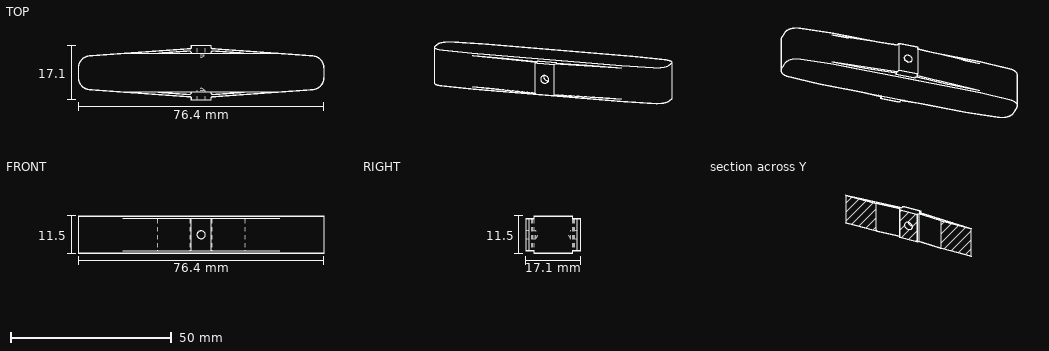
import cadquery as cq
import math

LENGTH = 76.4
HEIGHT = 11.5
BODY_WIDTH = 12.1
END_FLAT_WIDTH = 3.0
END_RADIUS = 3.8
TAPER_SLOPE = 0.0714

OVERALL_WIDTH = 17.05
ARM_HEIGHT = 10.0
ARM_ROOT_X = 4.3
ARM_THICKNESS = 0.8
PAD_WIDTH = 6.3
PAD_FILLET = 0.3
SLOT_CHAMFER = 0.3

HOLE_DIAMETER = 2.5
HOLE_DEPTH = 3.05
HOLE_TIP_ANGLE = 118.0

HALF_LENGTH = LENGTH / 2
HALF_BODY = BODY_WIDTH / 2
HALF_PAD = PAD_WIDTH / 2
PAD_FACE_Y = OVERALL_WIDTH / 2
TAPER_ANGLE = math.atan(TAPER_SLOPE)

ARC_CENTER_X = HALF_LENGTH - END_RADIUS
ARC_CENTER_Y = END_FLAT_WIDTH / 2
TAPER_START_X = ARC_CENTER_X + END_RADIUS * math.sin(TAPER_ANGLE)
TAPER_START_Y = ARC_CENTER_Y + END_RADIUS * math.cos(TAPER_ANGLE)
TAPER_END_X = TAPER_START_X - (HALF_BODY - TAPER_START_Y) / TAPER_SLOPE

ARM_ROOT_Y = TAPER_START_Y + (TAPER_START_X - ARM_ROOT_X) * TAPER_SLOPE


def make_body():
    """Boat-shaped bar with parallel middle, tapered sides and rounded ends."""
    arc_mid_angle = (math.pi / 2 - TAPER_ANGLE) / 2
    arc_mid = (
        ARC_CENTER_X + END_RADIUS * math.cos(arc_mid_angle),
        ARC_CENTER_Y + END_RADIUS * math.sin(arc_mid_angle),
    )
    quarter = (
        cq.Workplane("XY", origin=(0, 0, -HEIGHT / 2))
        .lineTo(HALF_LENGTH, 0)
        .lineTo(HALF_LENGTH, ARC_CENTER_Y)
        .threePointArc(arc_mid, (TAPER_START_X, TAPER_START_Y))
        .lineTo(TAPER_END_X, HALF_BODY)
        .lineTo(0, HALF_BODY)
        .close()
        .extrude(HEIGHT)
    )
    half = quarter.union(quarter.mirror("YZ"))
    return half.union(half.mirror("XZ"))


def make_half_arm():
    """The +X half of the +Y arm and pad, with the slot left open behind the arm."""
    slot_y = ARM_ROOT_Y - ARM_THICKNESS
    slot_end_x = ARM_ROOT_X + (slot_y - HALF_BODY) / TAPER_SLOPE
    fillet_mid_offset = PAD_FILLET * (1 - math.sqrt(0.5))
    return (
        cq.Workplane("XY", origin=(0, 0, -ARM_HEIGHT / 2))
        .lineTo(0, PAD_FACE_Y)
        .lineTo(HALF_PAD, PAD_FACE_Y)
        .lineTo(HALF_PAD, ARM_ROOT_Y + PAD_FILLET)
        .threePointArc(
            (HALF_PAD + fillet_mid_offset, ARM_ROOT_Y + fillet_mid_offset),
            (HALF_PAD + PAD_FILLET, ARM_ROOT_Y),
        )
        .lineTo(ARM_ROOT_X, ARM_ROOT_Y)
        .lineTo(TAPER_END_X, HALF_BODY)
        .lineTo(slot_end_x, HALF_BODY)
        .lineTo(ARM_ROOT_X, slot_y)
        .lineTo(HALF_PAD + SLOT_CHAMFER, slot_y)
        .lineTo(HALF_PAD, slot_y - SLOT_CHAMFER)
        .lineTo(HALF_PAD, 0)
        .close()
        .extrude(ARM_HEIGHT)
    )


def make_hole_cutter():
    """Drilled hole with a conical tip, entering the +Y pad face."""
    radius = HOLE_DIAMETER / 2
    tip_length = radius / math.tan(math.radians(HOLE_TIP_ANGLE / 2))
    floor_y = PAD_FACE_Y - HOLE_DEPTH
    return (
        cq.Workplane("YZ")
        .moveTo(PAD_FACE_Y, 0)
        .lineTo(PAD_FACE_Y, radius)
        .lineTo(floor_y, radius)
        .lineTo(floor_y - tip_length, 0)
        .close()
        .revolve(360, (0, 0, 0), (1, 0, 0))
    )


half_arm = make_half_arm()
arm = half_arm.union(half_arm.mirror("YZ"))
hole_cutter = make_hole_cutter()

result = make_body()
for side_arm in (arm, arm.mirror("XZ")):
    result = result.union(side_arm)
for cutter in (hole_cutter, hole_cutter.mirror("XZ")):
    result = result.cut(cutter)
result = result.clean()